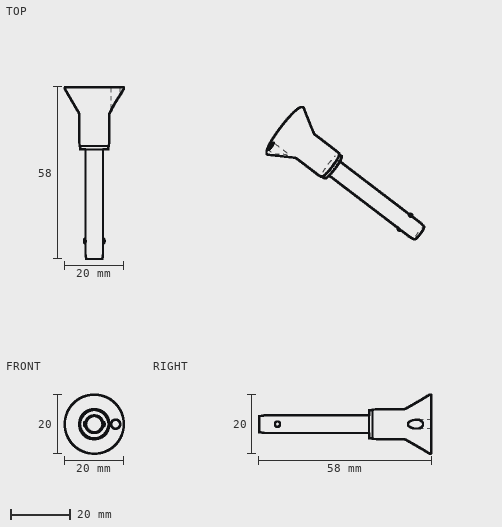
import cadquery as cq
import math

total_length = 58.0

rim_diameter = 20.0
rim_radius = rim_diameter / 2
rim_rounding = 0.35
flare_start = 0.7
flare_start_radius = 9.9
flare_end = 8.4
flare_end_radius = 5.4
body_start = 9.3
body_radius = 5.1
body_taper_start = 18.2
body_end = 19.8
body_end_radius = 5.0
collar_end = 21.0
collar_radius = 4.75

shaft_radius = 3.0
tip_taper_length = 1.75
tip_radius = 2.7

ball_radius = 1.0
ball_protrusion = 0.5
ball_from_tip = 6.15

lanyard_hole_diameter = 3.0
lanyard_hole_offset = 7.2


def make_turned_body():
    """Revolve the half profile of head, body, collar and shaft about Y."""
    diagonal = rim_rounding * (1 - math.sqrt(0.5))
    rim_mid_radius = rim_radius - diagonal
    blend_mid = (flare_end + body_start) / 2
    blend_mid_radius = body_radius + (flare_end_radius - body_radius) / 4
    profile = (
        cq.Workplane("XY")
        .lineTo(rim_radius - rim_rounding, 0)
        .threePointArc((rim_mid_radius, -diagonal), (rim_radius, -rim_rounding))
        .lineTo(flare_start_radius, -flare_start)
        .lineTo(flare_end_radius, -flare_end)
        .threePointArc((blend_mid_radius, -blend_mid), (body_radius, -body_start))
        .lineTo(body_radius, -body_taper_start)
        .lineTo(body_end_radius, -body_end)
        .lineTo(collar_radius, -body_end)
        .lineTo(collar_radius, -collar_end)
        .lineTo(shaft_radius, -collar_end)
        .lineTo(shaft_radius, tip_taper_length - total_length)
        .lineTo(tip_radius, -total_length)
        .lineTo(0, -total_length)
        .close()
    )
    return profile.revolve(360, (0, 0, 0), (0, 1, 0))


def make_locking_balls():
    """Two balls standing out of opposite sides of the shaft along X."""
    ball_x = shaft_radius + ball_protrusion - ball_radius
    ball_y = ball_from_tip - total_length
    return cq.Workplane("XY").pushPoints([(-ball_x, ball_y), (ball_x, ball_y)]).sphere(ball_radius)


def make_lanyard_hole():
    """Round cutter through the flare, parallel to the pin axis."""
    return (
        cq.Workplane("XZ")
        .center(lanyard_hole_offset, 0)
        .circle(lanyard_hole_diameter / 2)
        .extrude(body_start)
    )


result = make_turned_body().union(make_locking_balls()).cut(make_lanyard_hole())